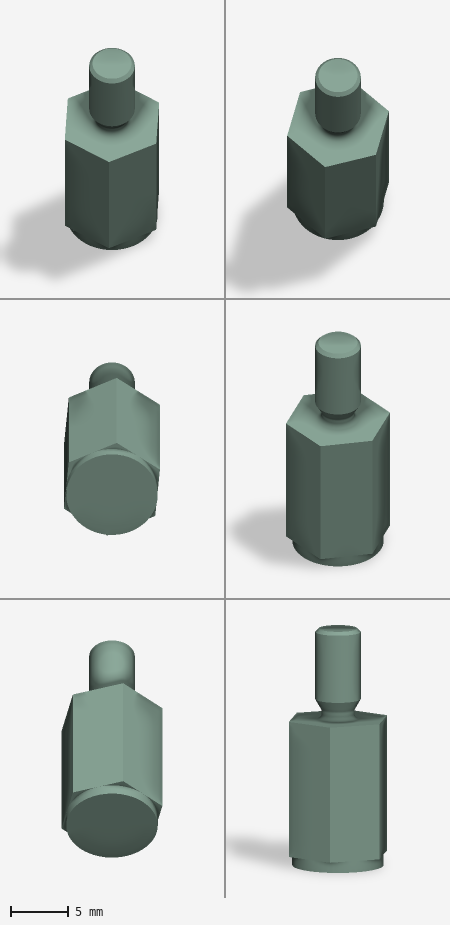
import cadquery as cq
import math

total_height = 21
across_flats = 8.0
collar_height = 1.0
hex_height = 12.0

stud_diameter = 4
tip_chamfer = 0.3

neck_diameter = 2.9
undercut_length = 1.75
undercut_fillet = 0.4
runout_angle = math.radians(30)

shoulder_z = collar_height + hex_height


def make_body():
    """Round collar with the hexagonal prism on top, two corners along X."""
    across_corners = across_flats / math.cos(math.pi / 6)
    collar = cq.Workplane("XY").circle(across_flats / 2).extrude(collar_height)
    prism = (
        cq.Workplane("XY")
        .workplane(offset=collar_height)
        .polygon(6, across_corners)
        .extrude(hex_height)
    )
    return collar.union(prism)


def make_stud():
    """Stud revolved about Z, with a filleted undercut and a chamfered tip."""
    stud_radius = stud_diameter / 2
    neck_radius = neck_diameter / 2
    fillet_center_r = neck_radius + undercut_fillet
    runout_top_z = shoulder_z + undercut_length

    runout_start_r = fillet_center_r - undercut_fillet * math.cos(runout_angle)
    runout_height = (stud_radius - runout_start_r) / math.tan(runout_angle)
    runout_start_z = runout_top_z - runout_height
    neck_top_z = runout_start_z - undercut_fillet * math.sin(runout_angle)
    neck_bottom_z = shoulder_z + undercut_fillet

    def lower_fillet_middle():
        offset = undercut_fillet * math.sqrt(0.5)
        return fillet_center_r - offset, neck_bottom_z - offset

    def upper_fillet_middle():
        half_angle = runout_angle / 2
        return (
            fillet_center_r - undercut_fillet * math.cos(half_angle),
            neck_top_z + undercut_fillet * math.sin(half_angle),
        )

    return (
        cq.Workplane("XZ")
        .moveTo(0, collar_height)
        .lineTo(fillet_center_r, collar_height)
        .lineTo(fillet_center_r, shoulder_z)
        .threePointArc(lower_fillet_middle(), (neck_radius, neck_bottom_z))
        .lineTo(neck_radius, neck_top_z)
        .threePointArc(upper_fillet_middle(), (runout_start_r, runout_start_z))
        .lineTo(stud_radius, runout_top_z)
        .lineTo(stud_radius, total_height - tip_chamfer)
        .lineTo(stud_radius - tip_chamfer, total_height)
        .lineTo(0, total_height)
        .close()
        .revolve(360, (0, 0, 0), (0, 1, 0))
    )


result = make_body().union(make_stud())